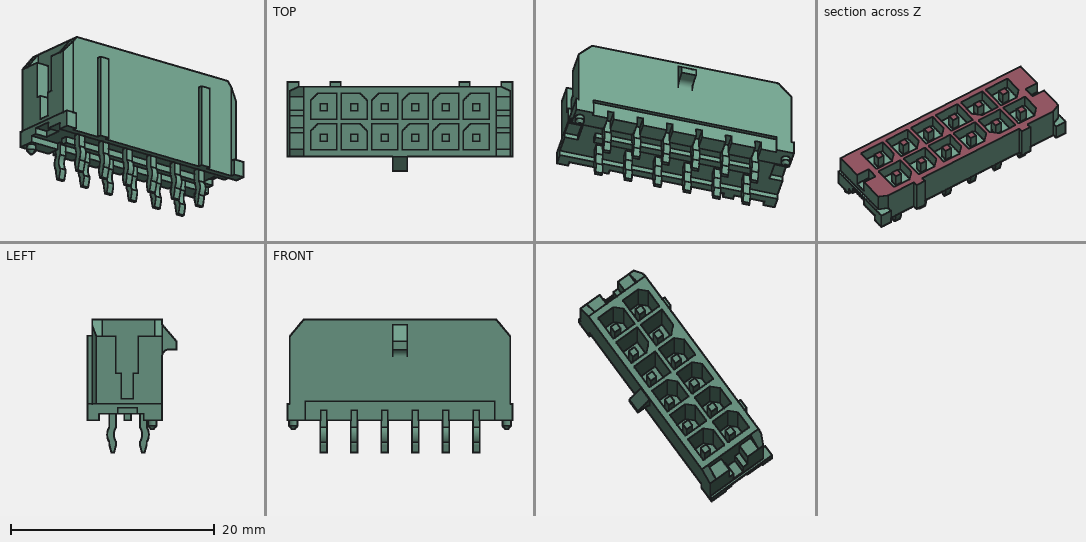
import cadquery as cq


columns = 6
column_span = 15.0
pitch = column_span / (columns - 1)
front_pin_y = 1.85
pin_ys = [front_pin_y, front_pin_y + pitch]
column_xs = [(i - (columns - 1) / 2) * pitch for i in range(columns)]

body_length = 21.66
body_half = body_length / 2
body_depth = 6.89
body_height = 9.92
end_slope_run = 1.37
end_slope_drop = 1.66
shoulder_z = body_height - end_slope_drop
core_half = body_half - end_slope_run
back_corner_run = 0.9
back_corner_depth = 0.42

flange_length = 22.15
flange_half = flange_length / 2
flange_height = 1.62
overall_depth = 7.35
tab_length = 1.15

rib_width = 1.05
rib_offset = 6.33
rib_top = 8.33

end_recesses = [
    (0.75, 5.9, shoulder_z),
    (2.35, 4.56, 4.6),
    (2.85, 4.0, 2.15),
]

channel_start = 1.8
channel_end = 6.2
channel_height = 0.65
notch_start = 2.45
notch_end = 4.36
notch_top = 1.26
notch_length = 1.33
keel_length = 16.61
keel_start = 3.05
keel_width = 0.69

relief_length = 18.65
relief_height = 1.88
relief_depth = 0.3
slot_width = 0.6
slot_height = 1.02

pocket_size = 2.57
pocket_chamfer = 0.7
pocket_floor = 2.15
front_pocket_y = 1.95
reversed_key_column = 1
unkeyed_pocket = (2, 0)

pin_size = 0.69
post_top = 6.65
tail_length = 3.17
bend_top = -0.66
bend_bottom = -2.13
bend_offset = 0.22
taper_start = -2.4
tip_width = 0.29

peg_diameter = 0.86
peg_tip_diameter = 0.22
peg_straight = 0.53
peg_length = 0.89
peg_x = 10.48
peg_y = 0.97

latch_width = 1.45
latch_reach = 1.42
latch_top = 9.41
latch_nose_top = 7.75
latch_nose_bottom = 6.95
latch_foot = 6.31
latch_undercut_reach = 0.65

overlap = 0.22


def block(x0, x1, y0, y1, z0, z1):
    """Box between the given limits."""
    return cq.Workplane("XY").box(x1 - x0, y1 - y0, z1 - z0, centered=False).translate((x0, y0, z0))


def centered_block(length, y0, y1, z0, z1):
    """Box centred on x = 0."""
    return block(-length / 2, length / 2, y0, y1, z0, z1)


def make_body():
    """Body with sloped upper ends and chamfered vertical back corners."""
    face = (
        cq.Workplane("XZ")
        .polyline([
            (-body_half, 0),
            (body_half, 0),
            (body_half, shoulder_z),
            (core_half, body_height),
            (-core_half, body_height),
            (-body_half, shoulder_z),
        ])
        .close()
        .extrude(-body_depth)
    )
    plan = (
        cq.Workplane("XY")
        .polyline([
            (-body_half, 0),
            (body_half, 0),
            (body_half, body_depth - back_corner_depth),
            (body_half - back_corner_run, body_depth),
            (-body_half + back_corner_run, body_depth),
            (-body_half, body_depth - back_corner_depth),
        ])
        .close()
        .extrude(body_height)
    )
    return face.intersect(plan)


def make_flange():
    """Base flange, extended backward at its two ends."""
    flange = centered_block(flange_length, 0, body_depth, 0, flange_height)
    for x0 in (-flange_half, flange_half - tab_length):
        tab = block(x0, x0 + tab_length, 0, overall_depth, 0, flange_height)
        flange = flange.union(tab)
    return flange


def make_rib(x):
    """Upright rib on the back face."""
    half = rib_width / 2
    return block(x - half, x + half, body_depth - overlap, overall_depth, 0, rib_top)


def make_latch():
    """Wedge-shaped latch on the front face with a concave quarter-round underneath."""
    return (
        cq.Workplane("YZ")
        .moveTo(overlap, latch_top)
        .lineTo(0, latch_top)
        .lineTo(-latch_reach, latch_nose_top)
        .lineTo(-latch_reach, latch_nose_bottom)
        .lineTo(-latch_undercut_reach, latch_nose_bottom)
        .tangentArcPoint((0, latch_foot), relative=False)
        .lineTo(overlap, latch_foot)
        .close()
        .extrude(latch_width / 2, both=True)
    )


def make_pocket(column, row):
    """Mating pocket; the second column is keyed on the +x side and one pocket has no key."""
    x = column_xs[column]
    y = front_pocket_y + row * pitch
    pocket = (
        cq.Workplane("XY", origin=(x, y, pocket_floor))
        .rect(pocket_size, pocket_size)
        .extrude(body_height - pocket_floor)
    )
    if (column, row) == unkeyed_pocket:
        return pocket
    keyed_edge = ">X and >Y" if column == reversed_key_column else "<X and >Y"
    return pocket.edges("|Z").edges(keyed_edge).chamfer(pocket_chamfer)


def make_contact(x, y, outward):
    """Square post inside the pocket and a kinked tail that bows outward (+1 back, -1 front)."""
    half = pin_size / 2
    bend_middle = (bend_top + bend_bottom) / 2
    bow = outward * bend_offset
    tail = (
        cq.Workplane("YZ", origin=(x, y, 0))
        .moveTo(-half, slot_height)
        .lineTo(-half, bend_top)
        .threePointArc((-half + bow, bend_middle), (-half, bend_bottom))
        .lineTo(-half, taper_start)
        .lineTo(-tip_width / 2, -tail_length)
        .lineTo(tip_width / 2, -tail_length)
        .lineTo(half, taper_start)
        .lineTo(half, bend_bottom)
        .threePointArc((half + bow, bend_middle), (half, bend_top))
        .lineTo(half, slot_height)
        .close()
        .extrude(half, both=True)
    )
    post = block(x - half, x + half, y - half, y + half, slot_height, post_top)
    return tail.union(post)


def make_peg(x):
    """Round locating peg with a conical tip."""
    return (
        cq.Workplane("XZ")
        .polyline([
            (0, overlap),
            (peg_diameter / 2, overlap),
            (peg_diameter / 2, -peg_straight),
            (peg_tip_diameter / 2, -peg_length),
            (0, -peg_length),
        ])
        .close()
        .revolve(360, (0, 0), (0, 1))
        .translate((x, peg_y, 0))
    )


result = make_body().union(make_flange()).union(make_latch())
for side in (-1, 1):
    result = result.union(make_rib(side * rib_offset))

for y0, y1, floor_z in end_recesses:
    result = result.cut(block(-body_half, -core_half, y0, y1, floor_z, body_height))
    result = result.cut(block(core_half, body_half, y0, y1, floor_z, body_height))

result = result.cut(centered_block(flange_length, channel_start, channel_end, 0, channel_height))
for x0 in (-flange_half, flange_half - notch_length):
    result = result.cut(block(x0, x0 + notch_length, notch_start, notch_end, 0, notch_top))
result = result.union(
    centered_block(keel_length, keel_start, keel_start + keel_width, 0, channel_height + overlap)
)

result = result.cut(centered_block(relief_length, 0, relief_depth, 0, relief_height))
for x in column_xs:
    result = result.cut(
        block(x - slot_width / 2, x + slot_width / 2, 0, channel_start, 0, slot_height)
    )

for column in range(columns):
    for row in range(len(pin_ys)):
        result = result.cut(make_pocket(column, row))
for x in column_xs:
    for y, outward in zip(pin_ys, (-1, 1)):
        result = result.union(make_contact(x, y, outward))

for side in (-1, 1):
    result = result.union(make_peg(side * peg_x))